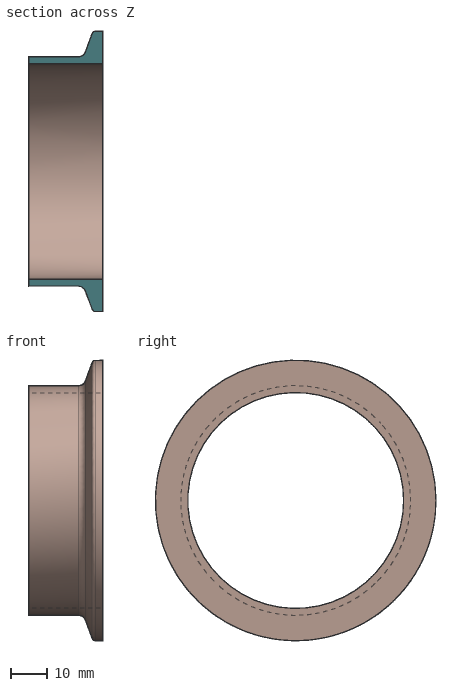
import cadquery as cq
import math

length = 20.5
bore_diameter = 59.5
tube_diameter = 63.5
flange_diameter = 77.5
rim_width = 2.8
cone_angle = 20.0
neck_fillet = 2.0
rim_fillet = 1.0

bore_radius = bore_diameter / 2
tube_radius = tube_diameter / 2
flange_radius = flange_diameter / 2

rim_start = length - rim_width
cone_length = (flange_radius - tube_radius) * math.tan(math.radians(cone_angle))
cone_start = rim_start - cone_length


def ring_blank():
    """Revolve the tube and its cone-backed flange around the X axis."""
    profile = (
        cq.Workplane("XY")
        .moveTo(0, bore_radius)
        .lineTo(0, tube_radius)
        .lineTo(cone_start, tube_radius)
        .lineTo(rim_start, flange_radius)
        .lineTo(length, flange_radius)
        .lineTo(length, bore_radius)
        .close()
    )
    return profile.revolve(360, (0, 0, 0), (1, 0, 0))


def circle_edge_at(axial_position):
    """Select the circular edges lying in a thin slab across the axis."""
    slab = 0.01
    reach = flange_diameter
    return cq.selectors.BoxSelector(
        (axial_position - slab, -reach, -reach),
        (axial_position + slab, reach, reach),
        boundingbox=True,
    )


result = ring_blank()
result = result.edges(circle_edge_at(cone_start)).fillet(neck_fillet)
result = result.edges(circle_edge_at(rim_start)).fillet(rim_fillet)